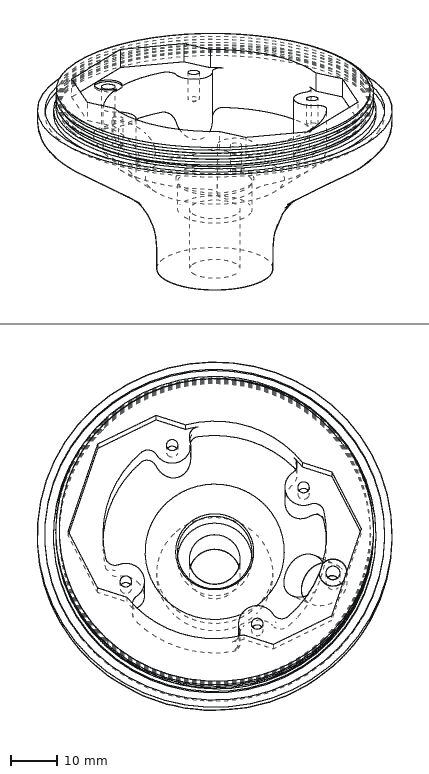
import cadquery as cq
import math

height = 41.6
rim_dia = 77.0
rim_top = 37.1
rim_corner = 32.0
rim_round = 4.3
neck_dia = 25.25
neck_corner = 15.1
neck_round = 19.25

thread_root_dia = 67.45
thread_crest_dia = 69.0
thread_pitch = 1.4
thread_base = 1.3
thread_crest_z = 39.4
thread_turns = 6
thread_turns_below = 3
thread_overlap = 0.6

groove_inner_dia = 70.0
groove_outer_dia = 73.8
groove_depth = 1.15

pocket_length = 60.2
pocket_width = 40.5
pocket_corner = 10.0
pocket_floor = 37.35

bowl_dia = 48.5
bowl_wall_bottom = 28.1
bowl_floor = 21.0
bowl_floor_dia = 30.2

post_dia = 8.1
post_x = 15.0
post_y = 16.0
post_blend = 2.15
screw_dia = 2.5
screw_depth = 6.15
drill_point_angle = 118.0

bore_dia = 11.0
seat_dia = 16.2
seat_floor = 13.85
seat_chamfer_width = 0.4
seat_chamfer_depth = 0.7

vent_dia = 3.0
vent_recess_dia = 6.0
vent_recess_depth = 0.4
vent_x = -27.0
cable_dia = 10.0
cable_tilt = 25.0
cable_x = -25.3
cable_z = 23.1
cable_reach = 10.8


def disc(diameter, bottom, top):
    """Cylinder on the Z axis between two heights."""
    return cq.Workplane("XY").workplane(offset=bottom).circle(diameter / 2).extrude(top - bottom)


def edges_at(level):
    """Selector for the circular edge centred on the Z axis at a height."""
    margin = 0.1
    return cq.selectors.BoxSelector((-margin, -margin, level - margin), (margin, margin, level + margin))


def make_shell():
    """Neck, flared cone and rim, with the plain cylinder that carries the thread."""
    outline = [
        (0, 0),
        (neck_dia / 2, 0),
        (neck_dia / 2, neck_corner),
        (rim_dia / 2, rim_corner),
        (rim_dia / 2, rim_top),
        (0, rim_top),
    ]
    flare = cq.Workplane("XZ").polyline(outline).close().revolve(360, (0, 0, 0), (0, 1, 0))
    flare = flare.edges(edges_at(neck_corner)).fillet(neck_round)
    flare = flare.edges(edges_at(rim_corner)).fillet(rim_round)
    return flare.union(disc(thread_root_dia, rim_top, height))


def make_thread():
    """Right-handed V ridge, trimmed flush with the shoulder and the top face."""
    start_z = thread_crest_z - thread_turns_below * thread_pitch
    root = thread_root_dia / 2
    inner = root - thread_overlap
    path = cq.Workplane(cq.Wire.makeHelix(thread_pitch, thread_turns * thread_pitch, root))
    path = path.translate((0, 0, start_z))
    ridge = (
        cq.Workplane("XZ")
        .polyline([
            (inner, start_z - thread_base / 2),
            (thread_crest_dia / 2, start_z),
            (inner, start_z + thread_base / 2),
        ])
        .close()
        .sweep(path, isFrenet=True)
    )
    return ridge.intersect(disc(rim_dia, rim_top, height))


def make_groove():
    bottom = rim_top - groove_depth
    return disc(groove_outer_dia, bottom, rim_top).cut(disc(groove_inner_dia, bottom, rim_top))


def make_pocket():
    block = cq.Workplane("XY").workplane(offset=pocket_floor)
    block = block.rect(pocket_length, pocket_width).extrude(height - pocket_floor)
    return block.edges("|Z").chamfer(pocket_corner).union(disc(bowl_dia, pocket_floor, height))


def make_bowl():
    """Straight wall over a conical bottom, leaving out the four screw posts."""
    posts = (
        cq.Workplane("XY").workplane(offset=bowl_floor)
        .rect(2 * post_x, 2 * post_y, forConstruction=True).vertices()
        .circle(post_dia / 2).extrude(pocket_floor - bowl_floor)
    )
    span_x = post_x + post_dia
    span_y = post_y + post_dia
    post_corners = cq.selectors.BoxSelector((-span_x, -span_y, 0), (span_x, span_y, height))
    lobes = disc(bowl_dia, bowl_floor, pocket_floor).cut(posts)
    lobes = lobes.edges("|Z").edges(post_corners).fillet(post_blend)
    envelope = (
        cq.Workplane("XZ")
        .polyline([
            (0, bowl_floor),
            (bowl_floor_dia / 2, bowl_floor),
            (bowl_dia / 2, bowl_wall_bottom),
            (bowl_dia / 2, pocket_floor),
            (0, pocket_floor),
        ])
        .close().revolve(360, (0, 0, 0), (0, 1, 0))
    )
    return lobes.intersect(envelope)


def make_screw_holes():
    """Four blind holes with drill points."""
    radius = screw_dia / 2
    point = radius / math.tan(math.radians(drill_point_angle / 2))
    drill = (
        cq.Workplane("XZ")
        .polyline([
            (0, pocket_floor),
            (radius, pocket_floor),
            (radius, pocket_floor - screw_depth),
            (0, pocket_floor - screw_depth - point),
        ])
        .close().revolve(360, (0, 0, 0), (0, 1, 0))
    )
    holes = cq.Workplane("XY")
    for x in (-post_x, post_x):
        for y in (-post_y, post_y):
            holes = holes.add(drill.translate((x, y, 0)))
    return holes.combine()


def make_bore():
    seat = disc(seat_dia, seat_floor, bowl_floor)
    lead_in = (
        cq.Workplane("XY").workplane(offset=bowl_floor)
        .circle(seat_dia / 2 + seat_chamfer_width)
        .workplane(offset=-seat_chamfer_depth).circle(seat_dia / 2).loft(ruled=True)
    )
    return disc(bore_dia, 0, seat_floor).union(seat).union(lead_in)


def make_vent():
    """Small hole from the pocket floor down into the cable hole, with a shallow recess."""
    drill = disc(vent_dia, cable_z, pocket_floor)
    recess = disc(vent_recess_dia, pocket_floor - vent_recess_depth, pocket_floor)
    return drill.union(recess).translate((vent_x, 0, 0))


def make_cable_hole():
    tilt = math.radians(cable_tilt)
    outward = cq.Vector(-math.cos(tilt), 0, -math.sin(tilt))
    start = cq.Vector(cable_x, 0, cable_z) - outward * cable_reach
    return cq.Workplane(cq.Solid.makeCylinder(cable_dia / 2, 2 * cable_reach, start, outward))


result = make_shell().union(make_thread())
for cutter in (
    make_groove(),
    make_pocket(),
    make_bowl(),
    make_screw_holes(),
    make_bore(),
    make_vent(),
    make_cable_hole(),
):
    result = result.cut(cutter)